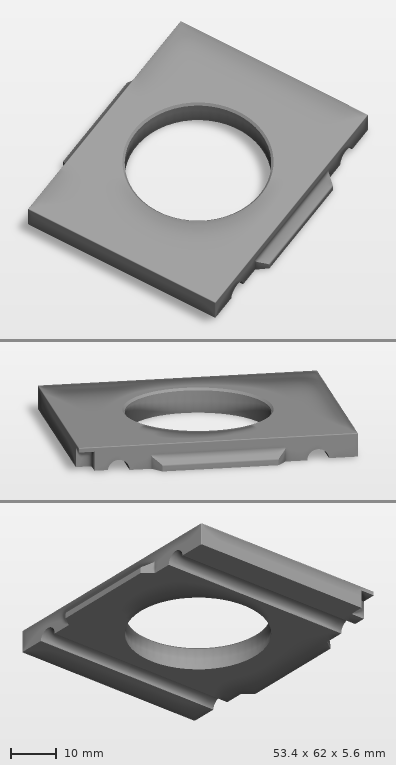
import cadquery as cq
import math

total_width = 53.4
plate_width = 48.5
plate_length = 62.0
plate_height = 5.6
edge_radius = 0.2

hole_diameter = 32.0
hole_chamfer = 0.5

wedge_reach = (total_width - plate_width) / 2
wedge_root_length = 29.75
wedge_tip_length = 25.8
wedge_tip_height = 1.4
wedge_slope = 30.0
wedge_root_height = wedge_tip_height + wedge_reach * math.tan(math.radians(wedge_slope))
wedge_tip_radius = 0.45
wedge_root_radius = 0.75
wedge_overlap = 1.25

groove_offset = 22.15
groove_radius = 2.4
end_relief = 0.25

notch_size = 3.5
notch_height = 4.6
notch_radius = 0.5


def make_plate():
    plate = cq.Workplane("XY").box(
        plate_width, plate_length, plate_height, centered=(True, True, False)
    )
    return plate.edges("|Z or >Z").fillet(edge_radius)


def make_wedge():
    """Right-hand wedge: a sloped profile whose ends taper towards the tip."""
    wall = plate_width / 2
    tip = total_width / 2
    inside = wall - wedge_overlap
    buried_top = (plate_height + wedge_root_height) / 2
    profile = (
        cq.Workplane("XZ")
        .moveTo(inside, 0)
        .lineTo(tip, 0)
        .lineTo(tip, wedge_tip_height)
        .lineTo(wall, wedge_root_height)
        .lineTo(wall, buried_top)
        .lineTo(inside, buried_top)
        .close()
        .extrude(wedge_root_length / 2, both=True)
    )
    tip_top = cq.selectors.NearestToPointSelector((tip, 0, wedge_tip_height))
    root = cq.selectors.NearestToPointSelector((wall, 0, wedge_root_height))
    profile = profile.edges(tip_top).fillet(wedge_tip_radius)
    profile = profile.edges(root).fillet(wedge_root_radius)
    plan = (
        cq.Workplane("XY")
        .moveTo(inside, -wedge_root_length / 2)
        .lineTo(wall, -wedge_root_length / 2)
        .lineTo(tip, -wedge_tip_length / 2)
        .lineTo(tip, wedge_tip_length / 2)
        .lineTo(wall, wedge_root_length / 2)
        .lineTo(inside, wedge_root_length / 2)
        .close()
        .extrude(plate_height)
    )
    return profile.intersect(plan)


def make_hole():
    rim_radius = hole_diameter / 2 + hole_chamfer
    return (
        cq.Workplane("XZ")
        .lineTo(hole_diameter / 2, 0)
        .lineTo(hole_diameter / 2, plate_height - hole_chamfer)
        .lineTo(rim_radius, plate_height)
        .lineTo(0, plate_height)
        .close()
        .revolve(360, (0, 0), (0, 1))
    )


def make_underside_cut(side):
    """Groove across the plate plus the shallow relief out to the end; side is -1 or 1."""
    groove = (
        cq.Workplane("YZ")
        .center(side * groove_offset, 0)
        .circle(groove_radius)
        .extrude(plate_width / 2, both=True)
    )
    relief_length = plate_length / 2 - groove_offset
    relief = (
        cq.Workplane("XY")
        .center(0, side * (groove_offset + relief_length / 2))
        .rect(plate_width, relief_length)
        .extrude(end_relief)
    )
    return groove.union(relief)


def make_notch():
    """Pocket under the top skin at the -X, +Y corner, rounded at its inner corner."""
    return (
        cq.Workplane("XY")
        .center(-plate_width / 2, plate_length / 2)
        .rect(2 * notch_size, 2 * notch_size)
        .extrude(notch_height)
        .edges("|Z")
        .fillet(notch_radius)
    )


right_wedge = make_wedge()
result = make_plate().union(right_wedge).union(right_wedge.mirror("YZ"))
result = result.cut(make_hole()).cut(make_notch())
for side in (-1, 1):
    result = result.cut(make_underside_cut(side))